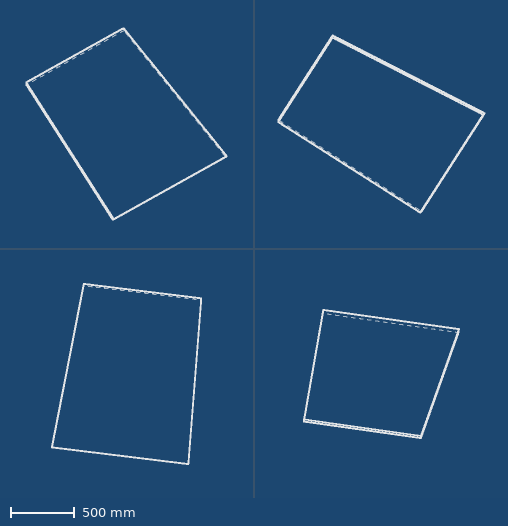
import cadquery as cq
import math

length = 1414.0
width = 1152.0
height = 337.0
thickness = 30.0
high_edge_shift = 106.0
high_edge_span = 928.0
low_edge_front_y = 75.0
end_bevel = 14.0

lean = high_edge_shift / high_edge_span
lean_angle = math.atan(lean)
low_edge_back_x = length - (width - low_edge_front_y) * lean

high_front = (high_edge_shift, 0)
high_back = (0, high_edge_span)
low_front = (length, low_edge_front_y)
low_back = (low_edge_back_x, width)

run = (
    (length - high_edge_shift) * math.cos(lean_angle)
    + low_edge_front_y * math.sin(lean_angle)
)
drop = height - thickness


def plan_prism():
    """Upright prism whose walls are the vertical sides of the panel."""
    outline = [high_front, low_front, low_back, high_back]
    return cq.Workplane("XY").polyline(outline).close().extrude(height)


def sloping_slab():
    """Slope profile, with its undercut low end, swept along the level edges."""
    slope_plane = cq.Plane(
        origin=(high_edge_shift, 0, 0),
        xDir=(math.cos(lean_angle), math.sin(lean_angle), 0),
        normal=(math.sin(lean_angle), -math.cos(lean_angle), 0),
    )
    bottom_run = run - end_bevel
    profile = [
        (0, height),
        (run, height - drop * run / bottom_run),
        (bottom_run, 0),
        (0, drop),
    ]
    return cq.Workplane(slope_plane).polyline(profile).close().extrude(length, both=True)


result = plan_prism().intersect(sloping_slab())